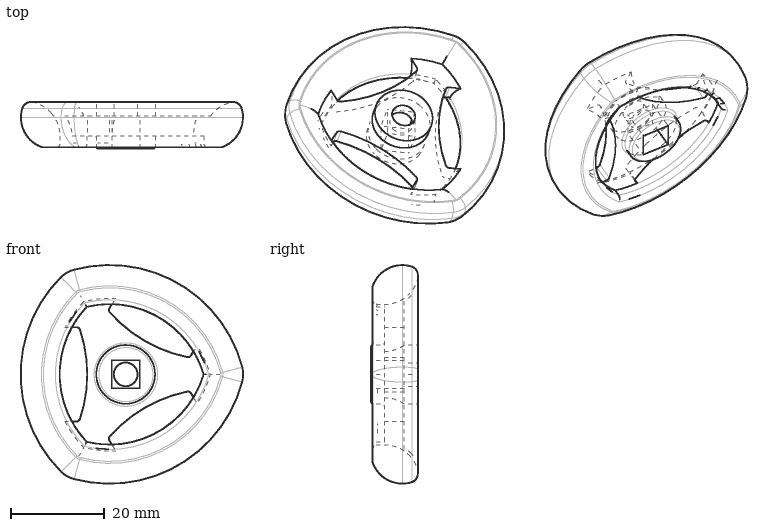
import cadquery as cq
import math


LOBES = 3
LOBE_ANGLE = 360 / LOBES

CORNER_REACH = 25.0
CORNER_RADIUS = 6.2
ARC_OFFSET = 6.83
CORNER_CENTRE = CORNER_REACH - CORNER_RADIUS

RIM_HEIGHT = 9.7
REAR_SIDE_RADIUS = 6.0
FRONT_SIDE_RADIUS = 6.75
WIDEST_LEVEL = 3.3
REAR_FILLET = 2.0
FRONT_FILLET = 1.2

RIM_WIDTH = 7.35
OPENING_FILLET = 1.0
WALL_CURVE_RADIUS = 7.35

WEB_FRONT = 7.2
WEB_THICKNESS = 4.2
WEB_REAR = WEB_FRONT - WEB_THICKNESS
WEB_EMBED = 1.5
SLOT_REACH = 8.2
SLOT_EDGE_RADIUS = 30.0
SLOT_HALF_LENGTH = 10.0
SLOT_CORNER_RADIUS = 0.75

HUB_HEIGHT = 10.0
HUB_DIAMETER = 12.5
HUB_EDGE_FILLET = 0.5
HUB_ROOT_FILLET = 0.5
BORE_DIAMETER = 5.0
SQUARE_SIZE = 6.0
SQUARE_DEPTH = 7.0

HALF_LOBE = math.radians(LOBE_ANGLE / 2)
CORNER_X = -CORNER_CENTRE * math.cos(HALF_LOBE)
CORNER_Y = CORNER_CENTRE * math.sin(HALF_LOBE)
ARC_RADIUS = math.hypot(ARC_OFFSET - CORNER_X, CORNER_Y) + CORNER_RADIUS
ARC_HALF_ANGLE = math.degrees(math.atan2(CORNER_Y, ARC_OFFSET - CORNER_X))
CORNER_HALF_ANGLE = LOBE_ANGLE / 2 - ARC_HALF_ANGLE

OPENING_RADIUS = ARC_RADIUS - RIM_WIDTH
WALL_RADIUS = OPENING_RADIUS - OPENING_FILLET
WEB_EDGE_RADIUS = OPENING_RADIUS + WEB_EMBED


def turned(shape, index):
    return shape.rotate((0, 0, 0), (0, 0, 1), index * LOBE_ANGLE)


def rim_sector(outer_radius, centre_x, mid_angle, half_angle):
    """Slice of a disc with the rim's outer section, turned about a vertical axis."""

    def blend(side_radius, fillet_level, fillet):
        """Fillet between a rounded side and a flat face: (start on the side, middle, end x)."""
        rise = fillet_level - WIDEST_LEVEL
        reach = side_radius - fillet
        angle = math.asin(rise / reach)
        side_x = outer_radius - side_radius
        fillet_x = side_x + reach * math.cos(angle)
        start = (
            side_x + side_radius * math.cos(angle),
            WIDEST_LEVEL + side_radius * math.sin(angle),
        )
        middle_angle = (angle + math.copysign(math.pi / 2, rise)) / 2
        middle = (
            fillet_x + fillet * math.cos(middle_angle),
            fillet_level + fillet * math.sin(middle_angle),
        )
        return start, middle, fillet_x

    def side_middle(side_radius, end):
        """Point halfway along a rounded side, from its end to the widest point."""
        half_angle_to_end = math.asin((end[1] - WIDEST_LEVEL) / side_radius) / 2
        return (
            outer_radius - side_radius + side_radius * math.cos(half_angle_to_end),
            WIDEST_LEVEL + side_radius * math.sin(half_angle_to_end),
        )

    front_level = RIM_HEIGHT - FRONT_FILLET
    rear_start, rear_middle, rear_x = blend(REAR_SIDE_RADIUS, REAR_FILLET, REAR_FILLET)
    front_start, front_middle, front_x = blend(FRONT_SIDE_RADIUS, front_level, FRONT_FILLET)
    widest = (outer_radius, WIDEST_LEVEL)
    sector = (
        cq.Workplane("XZ")
        .lineTo(rear_x, 0)
        .threePointArc(rear_middle, rear_start)
        .threePointArc(side_middle(REAR_SIDE_RADIUS, rear_start), widest)
        .threePointArc(side_middle(FRONT_SIDE_RADIUS, front_start), front_start)
        .threePointArc(front_middle, (front_x, RIM_HEIGHT))
        .lineTo(0, RIM_HEIGHT)
        .close()
        .revolve(2 * half_angle, (0, 0), (0, 1))
    )
    spin = mid_angle - half_angle
    return sector.rotate((0, 0, 0), (0, 0, 1), spin).translate((centre_x, 0, 0))


def make_body():
    """Solid outline body with the rounded rim side."""
    side = rim_sector(ARC_RADIUS, ARC_OFFSET, 180, ARC_HALF_ANGLE)
    corner = rim_sector(CORNER_RADIUS, CORNER_CENTRE, 0, CORNER_HALF_ANGLE)
    body = side
    for index in range(1, LOBES):
        body = body.union(turned(side, index))
    for index in range(LOBES):
        body = body.union(turned(corner, index))
    return body


def common_to_lobes(disc):
    """Three-sided solid shared by the disc and its two turned copies."""
    shared = disc
    for index in range(1, LOBES):
        shared = shared.intersect(turned(disc, index))
    return shared


def make_opening():
    """Space inside the rim: rounded front edge, then a wall that curves outward to the rear."""
    wall_start = RIM_HEIGHT - OPENING_FILLET
    fillet_mid = OPENING_FILLET * math.sqrt(0.5)

    def wall_x(level):
        drop = WEB_FRONT - level
        return WALL_RADIUS + WALL_CURVE_RADIUS - math.sqrt(WALL_CURVE_RADIUS**2 - drop**2)

    disc = (
        cq.Workplane("XZ")
        .lineTo(wall_x(0), 0)
        .threePointArc((wall_x(WEB_REAR), WEB_REAR), (WALL_RADIUS, WEB_FRONT))
        .lineTo(WALL_RADIUS, wall_start)
        .threePointArc(
            (OPENING_RADIUS - fillet_mid, wall_start + fillet_mid),
            (OPENING_RADIUS, RIM_HEIGHT),
        )
        .lineTo(0, RIM_HEIGHT)
        .close()
        .revolve(360, (0, 0), (0, 1))
        .translate((ARC_OFFSET, 0, 0))
    )
    return common_to_lobes(disc)


def make_slot():
    """Slot on the -X side: the spoke edge is an arc and the far side lies inside the rim."""
    spoke_centre = -SLOT_REACH - SLOT_EDGE_RADIUS
    end_x = spoke_centre + math.sqrt(SLOT_EDGE_RADIUS**2 - SLOT_HALF_LENGTH**2)
    return (
        cq.Workplane("XY")
        .moveTo(spoke_centre, -SLOT_HALF_LENGTH)
        .lineTo(end_x, -SLOT_HALF_LENGTH)
        .threePointArc((-SLOT_REACH, 0), (end_x, SLOT_HALF_LENGTH))
        .lineTo(spoke_centre, SLOT_HALF_LENGTH)
        .close()
        .extrude(WEB_FRONT)
        .edges("|Z")
        .edges(">X")
        .fillet(SLOT_CORNER_RADIUS)
    )


def make_web():
    """Plate that fills the opening, with a slot beside each side of the rim."""
    plate = cq.Workplane("XY", origin=(ARC_OFFSET, 0, WEB_REAR))
    web = common_to_lobes(plate.circle(WEB_EDGE_RADIUS).extrude(WEB_THICKNESS))
    slot = make_slot()
    for index in range(LOBES):
        web = web.cut(turned(slot, index))
    return web


def make_hub():
    radius = HUB_DIAMETER / 2
    hub = cq.Workplane("XY").circle(radius).extrude(HUB_HEIGHT)
    return hub.faces(">Z").edges().fillet(HUB_EDGE_FILLET)


def make_hub_root():
    """Concave ring between the hub and the front of the web."""
    radius = HUB_DIAMETER / 2
    sag = HUB_ROOT_FILLET * (1 - math.sqrt(0.5))
    return (
        cq.Workplane("XZ")
        .moveTo(0, WEB_REAR)
        .lineTo(radius + HUB_ROOT_FILLET, WEB_REAR)
        .lineTo(radius + HUB_ROOT_FILLET, WEB_FRONT)
        .threePointArc((radius + sag, WEB_FRONT + sag), (radius, WEB_FRONT + HUB_ROOT_FILLET))
        .lineTo(0, WEB_FRONT + HUB_ROOT_FILLET)
        .close()
        .revolve(360, (0, 0), (0, 1))
    )


wheel = make_body().cut(make_opening()).union(make_web())
wheel = wheel.union(make_hub()).union(make_hub_root())

bore = cq.Workplane("XY").circle(BORE_DIAMETER / 2).extrude(HUB_HEIGHT)
square = (
    cq.Workplane("XY")
    .workplane(offset=HUB_HEIGHT - SQUARE_DEPTH)
    .rect(SQUARE_SIZE, SQUARE_SIZE)
    .extrude(SQUARE_DEPTH)
)
wheel = wheel.cut(bore).cut(square)

result = wheel.rotate((0, 0, 0), (1, 0, 0), 90)